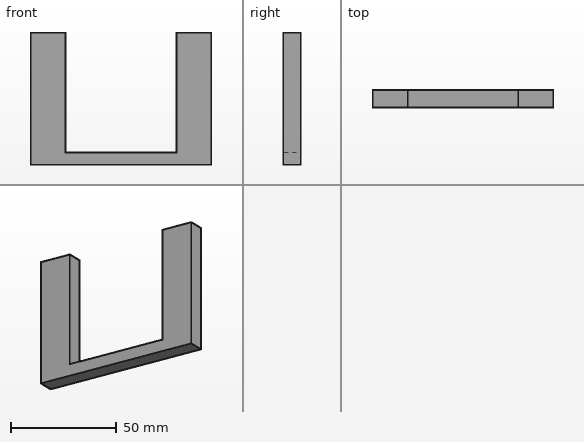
import cadquery as cq

width = 86.0
thickness = 8.5
height = 63.0

leg_width = 16.6
base_height = 6.0

gap_width = width - 2 * leg_width
gap_depth = height - base_height

plate = cq.Workplane("XY").box(width, thickness, height, centered=(True, True, False))

gap = (
    cq.Workplane("XY")
    .workplane(offset=base_height)
    .box(gap_width, thickness, gap_depth, centered=(True, True, False))
)

result = plate.cut(gap)